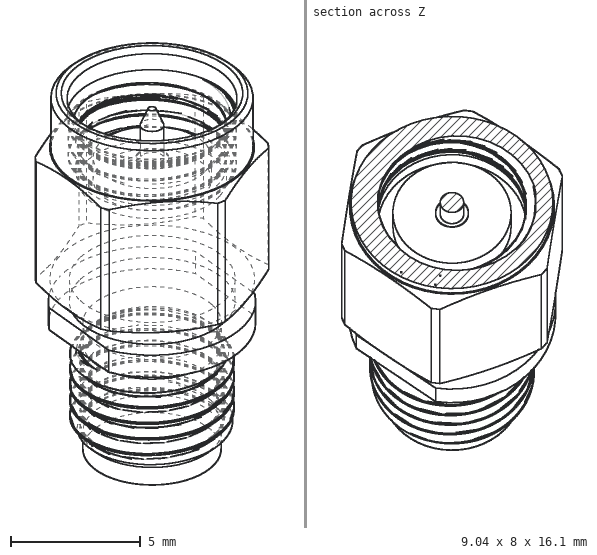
import cadquery as cq
import math

overall_height = 16.1
thread_bottom = 0.8
thread_top = 4.8
flange_bottom = 5.7
flange_top = 6.7
nut_bottom = 7.7
nut_top = 13.65

neck_diameter = 5.35
flange_diameter = 8.0
flange_across_flats = 7.0
collar_diameter = 6.4
nut_across_flats = 8.0
nut_corner_chamfer = 0.2
nut_end_cone_radius = 3.95
nut_end_cone_angle = 22.0
sleeve_diameter = 7.8
sleeve_chamfer = 0.2

pitch = 25.4 / 36
thread_depth = 5 / 16 * math.sqrt(3) * pitch
narrow_flat = pitch / 8
wide_flat = pitch / 4
external_major_radius = 6.35 / 2
external_crest_height = pitch / 2

mouth_diameter = 7.0
bore_diameter = 6.55
bore_depth = 0.95
internal_major_radius = 6.5 / 2
internal_minor_radius = internal_major_radius - thread_depth
internal_thread_bottom = 12.8
internal_groove_height = 14.96
boss_diameter = 4.56
boss_top = 13.2
cavity_floor = boss_top - 1.0
pin_diameter = 0.92
pin_tip_diameter = 0.3
shoulder_diameter = 1.27
shoulder_recess = 0.05
pin_cone_base = 14.65
pin_top = 15.4

OVERLAP = 0.05
FLANK_STEPS = 6


def cylinder(diameter, bottom, top):
    return cq.Workplane("XY").workplane(offset=bottom).circle(diameter / 2).extrude(top - bottom)


def revolved(points):
    """Solid of revolution about Z from (radius, height) points."""
    return cq.Workplane("XZ").polyline(points).close().revolve(360, (0, 0), (0, 1))


def polar_point(radius, turn):
    """Point at `radius`, `turn` of a full turn round from +X."""
    angle = 2 * math.pi * turn
    return (radius * math.cos(angle), radius * math.sin(angle))


def threaded_rod(root_radius, root_flat, crest_radius, crest_flat, bottom, top, crest_height):
    """Right-hand threaded rod whose crest passes the +X side at `crest_height`.

    A thread cut square to its axis shows a crest arc, a root arc and two spirals joining them.
    Twisting that section once per pitch gives the thread.
    """
    crest_turn = crest_flat / pitch / 2
    root_turn = (1 - root_flat / pitch) / 2

    def flank_point(step, side):
        share = step / FLANK_STEPS
        radius = crest_radius + (root_radius - crest_radius) * share
        return polar_point(radius, side * (crest_turn + (root_turn - crest_turn) * share))

    leading = [flank_point(step, 1) for step in range(FLANK_STEPS + 1)]
    trailing = [flank_point(step, -1) for step in range(FLANK_STEPS, -1, -1)]
    section = (
        cq.Workplane("XY")
        .workplane(offset=bottom)
        .moveTo(*leading[0])
        .spline(leading[1:], includeCurrent=True)
        .threePointArc(polar_point(root_radius, 0.5), trailing[0])
        .spline(trailing[1:], includeCurrent=True)
        .threePointArc(polar_point(crest_radius, 0), leading[0])
        .close()
    )
    length = top - bottom
    rod = section.twistExtrude(length, 360 * length / pitch)
    return rod.rotate((0, 0, 0), (0, 0, 1), 360 * (bottom - crest_height) / pitch)


def external_thread():
    """Threaded length with 45 degree bevels down to the neck at both ends."""
    neck_radius = neck_diameter / 2
    bevel = external_major_radius - neck_radius + OVERLAP
    outer_radius = neck_radius + bevel
    envelope = revolved([
        (0, thread_bottom),
        (neck_radius, thread_bottom),
        (outer_radius, thread_bottom + bevel),
        (outer_radius, thread_top - bevel),
        (neck_radius, thread_top),
        (0, thread_top),
    ])
    rod = threaded_rod(
        external_major_radius - thread_depth,
        wide_flat,
        external_major_radius,
        narrow_flat,
        thread_bottom - pitch / 2,
        thread_top + pitch / 2,
        external_crest_height,
    )
    return rod.intersect(envelope)


def flange():
    disc = cylinder(flange_diameter, flange_bottom, flange_top)
    flats = cq.Workplane("XY").box(flange_diameter, flange_across_flats, 2 * overall_height)
    return disc.intersect(flats)


def hex_nut():
    """Hexagon with chamfered corners and a shallow cone at both ends."""
    height = nut_top - nut_bottom
    across_corners = nut_across_flats / math.cos(math.radians(30))
    prism = cq.Workplane("XY").workplane(offset=nut_bottom).polygon(6, across_corners).extrude(height)
    prism = prism.edges("|Z").chamfer(nut_corner_chamfer)
    rim_radius = across_corners / 2
    cone_drop = (rim_radius - nut_end_cone_radius) * math.tan(math.radians(nut_end_cone_angle))
    envelope = revolved([
        (0, nut_bottom),
        (nut_end_cone_radius, nut_bottom),
        (rim_radius, nut_bottom + cone_drop),
        (rim_radius, nut_top - cone_drop),
        (nut_end_cone_radius, nut_top),
        (0, nut_top),
    ])
    return prism.intersect(envelope)


def mating_bore():
    """Chamfered mouth and plain bore, with a bevel leading into the thread."""
    mouth_radius = mouth_diameter / 2
    bore_radius = bore_diameter / 2
    bore_bottom = overall_height - bore_depth
    lead_in_radius = internal_minor_radius - OVERLAP
    lead_in_bottom = bore_bottom - (bore_radius - lead_in_radius)
    return revolved([
        (0, lead_in_bottom),
        (lead_in_radius, lead_in_bottom),
        (bore_radius, bore_bottom),
        (bore_radius, overall_height - (mouth_radius - bore_radius)),
        (mouth_radius, overall_height),
        (0, overall_height),
    ])


def internal_thread():
    """Material removed by the internal thread, running up into the plain bore."""
    return threaded_rod(
        internal_minor_radius,
        wide_flat,
        internal_major_radius,
        narrow_flat,
        internal_thread_bottom,
        overall_height - bore_depth + pitch / 2,
        internal_groove_height,
    )


def centre_pin():
    """Raised boss on the cavity floor with the conical-tipped contact pin."""
    boss = cylinder(boss_diameter, cavity_floor - OVERLAP, boss_top)
    shoulder_top = boss_top - shoulder_recess
    boss = boss.cut(cylinder(shoulder_diameter, shoulder_top, boss_top))
    pin = revolved([
        (0, shoulder_top - OVERLAP),
        (pin_diameter / 2, shoulder_top - OVERLAP),
        (pin_diameter / 2, pin_cone_base),
        (pin_tip_diameter / 2, pin_top),
        (0, pin_top),
    ])
    return boss.union(pin)


sleeve = cylinder(sleeve_diameter, nut_bottom, overall_height).faces(">Z").edges().chamfer(sleeve_chamfer)
shell = hex_nut().union(sleeve)
shell = shell.cut(internal_thread()).cut(mating_bore())
shell = shell.cut(cylinder(2 * internal_minor_radius, cavity_floor, internal_thread_bottom))

body = cylinder(neck_diameter, 0, flange_bottom).union(external_thread())
body = body.union(flange()).union(cylinder(collar_diameter, flange_top, nut_bottom))

result = body.union(shell).union(centre_pin())